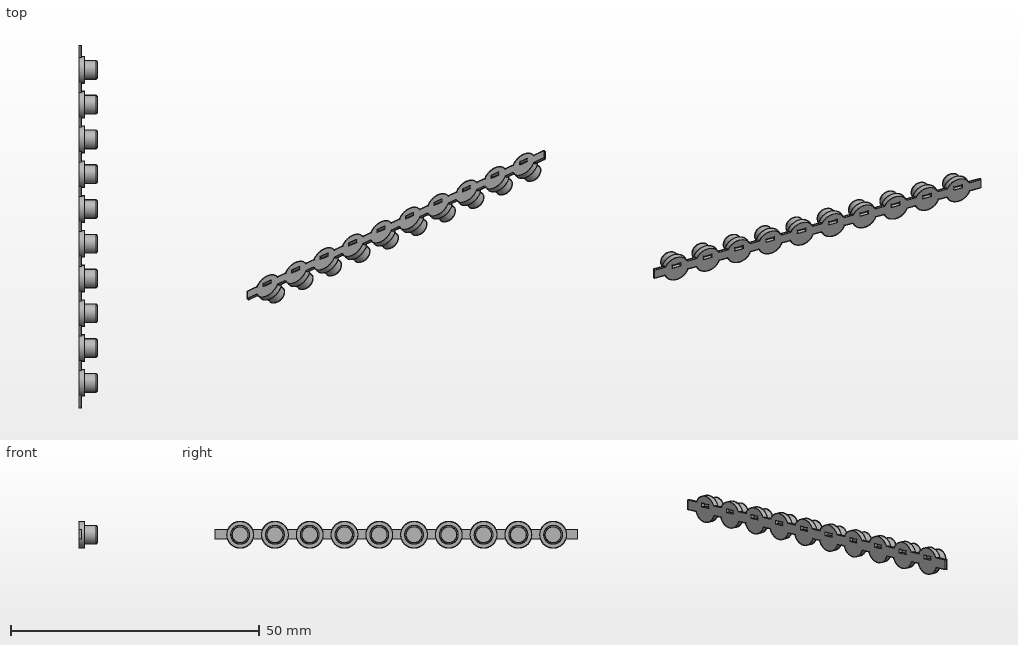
import cadquery as cq

strip_length = 73.0
strip_height = 2.0
strip_thickness = 0.5
strip_rise = 0.1

plug_count = 10
plug_pitch = 7.0
plug_length = 3.75
plug_row_shift = 0.08
flange_diameter = 5.4
flange_thickness = 1.15
pin_diameter = 3.8
pin_chamfer = 0.3

pocket_width = 1.9
pocket_height = 0.75
pocket_depth = 0.8
pocket_top = strip_rise + strip_height / 2

back_x = -plug_length / 2
first_plug_y = plug_row_shift - plug_pitch * (plug_count - 1) / 2
plug_positions = [first_plug_y + index * plug_pitch for index in range(plug_count)]


def back_plane(y, z):
    """Workplane on the back face at (y, z), facing +X."""
    return cq.Workplane("YZ", origin=(back_x, y, z))


def make_strip():
    """Thin flat bar that joins all plugs."""
    return back_plane(0, strip_rise).rect(strip_length, strip_height).extrude(strip_thickness)


def make_plug(y):
    """Flange disc and pin with a chamfered tip, on an axis along X."""
    flange = back_plane(y, 0).circle(flange_diameter / 2).extrude(flange_thickness)
    pin = back_plane(y, 0).circle(pin_diameter / 2).extrude(plug_length)
    pin = pin.faces(">X").chamfer(pin_chamfer)
    return flange.union(pin)


def make_pocket(y):
    """Volume of one blind pocket, reaching in from the back face."""
    pocket_middle = pocket_top - pocket_height / 2
    return back_plane(y, pocket_middle).rect(pocket_width, pocket_height).extrude(pocket_depth)


result = make_strip()
for plug_y in plug_positions:
    result = result.union(make_plug(plug_y))
for plug_y in plug_positions:
    result = result.cut(make_pocket(plug_y))